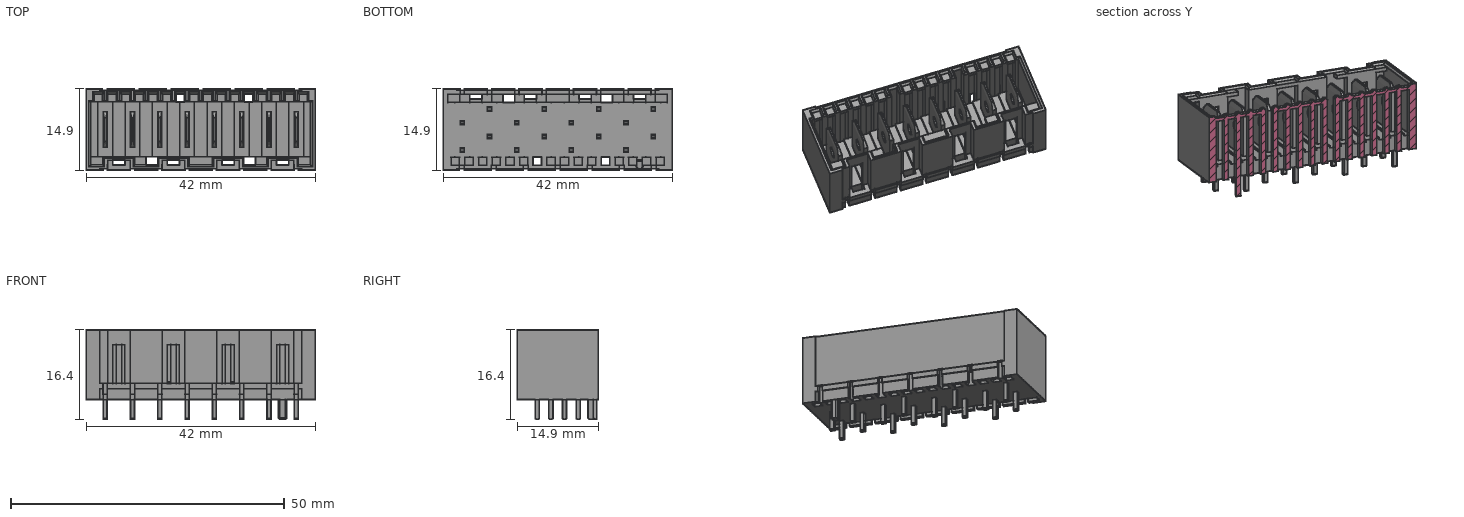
import cadquery as cq

LENGTH = 42.0
WIDTH = 14.9
HEIGHT = 12.8
BELT_DEPTH = 0.25
BELT_BOTTOM = 2.0
BELT_TOP = 3.0
END_BLOCK_LENGTH = 2.5

END_WALL = 0.9
FRONT_WALL = 0.75
BACK_WALL = 0.7
RIB_FRONT_Y = 5.05
CHANNEL_DEPTH = 1.0
FLOOR_TOP = 2.6
STRIP_TOP = 3.0
STRIP_WIDTH = 2.7
RIM_FLARE = 0.4
BAY_RIM_FLARE = 0.25
CAP_THICKNESS = 0.7

BAY_PITCH = 10.0
BAY_COUNT = 4
BAY_OUTER_WIDTH = 4.1
BAY_INNER_WIDTH = 5.8
BAY_OUTER_Y = -5.6
BAY_INNER_Y = -5.0
WINDOW_WIDTH = 2.2
WINDOW_TOP = 10.1
OPEN_POCKET_WIDTH = 2.1

GROOVE_PITCH = 2.5
GROOVE_COUNT = 16
GROOVE_WIDTH = 1.5
GROOVE_FLARE = 0.3
OPEN_GROOVES = (6, 11)

BACK_SLOT_PITCH = 5.85
BACK_SLOT_COUNT = 7
BACK_SLOT_WIDTH = 0.9
BACK_SLOT_TOP = 3.2

CONTACT_PITCH = 5.0
CONTACT_COUNT = 8
CONTACT_THICKNESS = 0.75
BLADE_WIDTH = 6.5
BLADE_TOP = 12.2
BLADE_TAPER_HEIGHT = 1.1
BLADE_RIDGE_THICKNESS = 0.35
BLADE_HOLE_DIAMETER = 2.0
BLADE_HOLE_Z = 7.8
TAIL_LENGTH = 3.6
TAIL_WIDTH = 0.8
TAIL_TIP_CHAMFER = 0.2
TAIL_Y_ODD = (-1.25, 3.75)
TAIL_Y_EVEN = (-3.75, 1.25)

PEG_X = 15.0
PEG_FRONT_Y = 5.5
PEG_STEM = 1.0
PEG_HEAD_WIDTH = 1.55
PEG_HEAD_LENGTH = 0.65
PEG_BACK_WIDTH = 0.7
PEG_TIP_CHAMFER = 0.27

HALF_LENGTH = LENGTH / 2
HALF_WIDTH = WIDTH / 2
FACE_Y = HALF_WIDTH - BELT_DEPTH
CAVITY_X = HALF_LENGTH - END_WALL
POCKET_Y = -(FACE_Y - FRONT_WALL)
GROOVE_BACK_Y = FACE_Y - BACK_WALL
CAP_TOP = HEIGHT - RIM_FLARE
CAP_BOTTOM = CAP_TOP - CAP_THICKNESS


def block(x_range, y_range, z_range):
    """Box spanning the given pairs of limits."""
    (x0, x1), (y0, y1), (z0, z1) = x_range, y_range, z_range
    return cq.Workplane("XY").box(x1 - x0, y1 - y0, z1 - z0, centered=False).translate((x0, y0, z0))


def centred(middle, width):
    """Pair of limits around a middle."""
    return (middle - width / 2, middle + width / 2)


def row(count, pitch):
    """Evenly spaced x places, symmetric about zero."""
    return [(i - (count - 1) / 2) * pitch for i in range(count)]


CONTACT_X = row(CONTACT_COUNT, CONTACT_PITCH)
BAY_X = row(BAY_COUNT, BAY_PITCH)
GROOVE_X = row(GROOVE_COUNT, GROOVE_PITCH)


def cavity_outline(flare, bay_flare):
    """Cavity plan: straight back edge, front edge stepping inward around each bay."""
    end_x = CAVITY_X + flare
    front_y = POCKET_Y - flare
    bay_y = BAY_INNER_Y - bay_flare
    back_y = RIB_FRONT_Y + bay_flare
    points = [(end_x, back_y), (-end_x, back_y), (-end_x, front_y)]
    for x in BAY_X:
        left, right = centred(x, BAY_INNER_WIDTH - 2 * bay_flare)
        points += [(left, front_y), (left, bay_y), (right, bay_y), (right, front_y)]
    points.append((end_x, front_y))
    return points


def make_shell():
    """Outer body: two end blocks, long walls set back between them, a belt low on each wall."""
    shell = block((-HALF_LENGTH, HALF_LENGTH), (-FACE_Y, FACE_Y), (0, HEIGHT))
    block_edge = HALF_LENGTH - END_BLOCK_LENGTH
    for x_range in ((-HALF_LENGTH, -block_edge), (block_edge, HALF_LENGTH)):
        shell = shell.union(block(x_range, (-HALF_WIDTH, HALF_WIDTH), (0, HEIGHT)))
    belt = block((-block_edge, block_edge), (-HALF_WIDTH, HALF_WIDTH), (BELT_BOTTOM, BELT_TOP))
    return shell.union(belt)


def cut_cavity(body):
    """Main cavity with a flared rim, and a shallow channel under the front edge of the floor."""
    cavity = (
        cq.Workplane("XY", origin=(0, 0, FLOOR_TOP))
        .polyline(cavity_outline(0, 0))
        .close()
        .extrude(HEIGHT - FLOOR_TOP)
    )
    flared_rim = (
        cq.Workplane("XY", origin=(0, 0, CAP_TOP))
        .polyline(cavity_outline(0, 0))
        .close()
        .workplane(offset=RIM_FLARE)
        .polyline(cavity_outline(RIM_FLARE, BAY_RIM_FLARE))
        .close()
        .loft(ruled=True)
    )
    channel = block((-CAVITY_X, CAVITY_X), (POCKET_Y, BAY_INNER_Y), (0, CHANNEL_DEPTH))
    return body.cut(cavity).cut(flared_rim).cut(channel)


def cut_bays(body):
    """Front wall notches above the belt, each with a window running down through the base."""
    for x in BAY_X:
        body = body.cut(block(centred(x, BAY_OUTER_WIDTH), (-HALF_WIDTH, BAY_OUTER_Y), (BELT_TOP, HEIGHT)))
        body = body.cut(block(centred(x, WINDOW_WIDTH), (POCKET_Y, BAY_INNER_Y), (0, WINDOW_TOP)))
    return body


def finish_front_pockets(body):
    """Pockets beside the bays: open through the floor and capped just below the rim.

    The caps of the second pocket from each end cover only their outer half.
    """
    edges = [-CAVITY_X]
    for x in BAY_X:
        edges += centred(x, BAY_INNER_WIDTH)
    edges.append(CAVITY_X)
    pockets = list(zip(edges[::2], edges[1::2]))
    left_open, right_open = 1, len(pockets) - 2
    for i, (left, right) in enumerate(pockets):
        body = body.cut(block((left, right), (POCKET_Y, BAY_INNER_Y), (0, FLOOR_TOP)))
        cap_left, cap_right = left, right
        if i == left_open:
            cap_right = right - OPEN_POCKET_WIDTH
        if i == right_open:
            cap_left = left + OPEN_POCKET_WIDTH
        body = body.union(block((cap_left, cap_right), (POCKET_Y, BAY_INNER_Y), (CAP_BOTTOM, CAP_TOP)))
    return body


def cut_grooves(body):
    """Back wall grooves with flared mouths; all but two are capped just below the rim."""
    for i, x in enumerate(GROOVE_X):
        top = CAP_TOP if i in OPEN_GROOVES else CAP_BOTTOM
        bottom_depth = GROOVE_BACK_Y - RIB_FRONT_Y
        top_depth = bottom_depth + RIM_FLARE
        body = body.cut(block(centred(x, GROOVE_WIDTH), (RIB_FRONT_Y, GROOVE_BACK_Y), (0, top)))
        mouth = (
            cq.Workplane("XY", origin=(x, RIB_FRONT_Y, CAP_TOP))
            .center(0, bottom_depth / 2)
            .rect(GROOVE_WIDTH, bottom_depth)
            .workplane(offset=RIM_FLARE)
            .center(0, RIM_FLARE / 2)
            .rect(GROOVE_WIDTH + 2 * GROOVE_FLARE, top_depth)
            .loft(ruled=True)
        )
        body = body.cut(mouth)
    return body


def cut_edge_slots(body):
    """Slots through the lower edges of the front and back walls."""
    for x in CONTACT_X:
        body = body.cut(block(centred(x, CONTACT_THICKNESS), (-HALF_WIDTH, POCKET_Y), (0, BELT_TOP)))
    for x in row(BACK_SLOT_COUNT, BACK_SLOT_PITCH):
        body = body.cut(block(centred(x, BACK_SLOT_WIDTH), (GROOVE_BACK_Y, HALF_WIDTH), (0, BACK_SLOT_TOP)))
    return body


def make_blade(x):
    """Flat blade tapering to a ridge, with a cross hole."""
    shoulder = BLADE_TOP - BLADE_TAPER_HEIGHT
    blade = block(centred(x, CONTACT_THICKNESS), centred(0, BLADE_WIDTH), (0, shoulder))
    tip = (
        cq.Workplane("XY", origin=(x, 0, shoulder))
        .rect(CONTACT_THICKNESS, BLADE_WIDTH)
        .workplane(offset=BLADE_TAPER_HEIGHT)
        .rect(BLADE_RIDGE_THICKNESS, BLADE_WIDTH - 2 * BLADE_TAPER_HEIGHT)
        .loft(ruled=True)
    )
    hole = (
        cq.Workplane("YZ", origin=(x, 0, BLADE_HOLE_Z))
        .circle(BLADE_HOLE_DIAMETER / 2)
        .extrude(CONTACT_THICKNESS, both=True)
    )
    return blade.union(tip).cut(hole)


def make_tail(x, y):
    """Solder tail, its tip chamfered on the two sides facing along Y."""
    tail = block(centred(x, CONTACT_THICKNESS), centred(y, TAIL_WIDTH), (-TAIL_LENGTH, FLOOR_TOP))
    return tail.faces("<Z").edges("|X").chamfer(TAIL_TIP_CHAMFER)


def add_contacts(body):
    """Blades on raised floor strips, with tails staggered from one blade to the next."""
    for i, x in enumerate(CONTACT_X):
        strip = block(centred(x, STRIP_WIDTH), (BAY_INNER_Y, RIB_FRONT_Y), (0, STRIP_TOP))
        body = body.union(strip).union(make_blade(x))
        for y in TAIL_Y_EVEN if i % 2 else TAIL_Y_ODD:
            body = body.union(make_tail(x, y))
    return body


def make_peg():
    """Locating peg: square stem with a head narrowing to the back, bevelled tip on front and sides."""
    neck_y = PEG_FRONT_Y + PEG_STEM
    back_y = neck_y + PEG_HEAD_LENGTH
    z_range = (-TAIL_LENGTH, 0)
    stem = block(centred(PEG_X, PEG_STEM), (PEG_FRONT_Y, neck_y), z_range)
    neck_left, neck_right = centred(PEG_X, PEG_HEAD_WIDTH)
    back_left, back_right = centred(PEG_X, PEG_BACK_WIDTH)
    head = (
        cq.Workplane("XY", origin=(0, 0, -TAIL_LENGTH))
        .polyline([(neck_left, neck_y), (neck_right, neck_y), (back_right, back_y), (back_left, back_y)])
        .close()
        .extrude(TAIL_LENGTH)
    )
    envelope = block((neck_left, neck_right), (PEG_FRONT_Y, back_y), z_range)
    envelope = envelope.faces("<Z").edges("not >Y").chamfer(PEG_TIP_CHAMFER)
    return stem.union(head).intersect(envelope)


housing = make_shell()
housing = cut_cavity(housing)
housing = cut_bays(housing)
housing = finish_front_pockets(housing)
housing = cut_grooves(housing)
housing = cut_edge_slots(housing)
result = add_contacts(housing).union(make_peg())